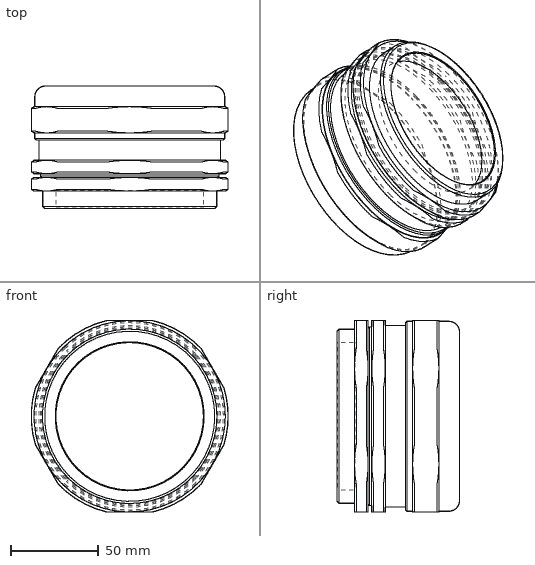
import cadquery as cq
import math

total_length = 70.4

crest_diameter = 113.0
across_flats = 110.0
hex_face_diameter = 109.7
hex_chamfer_angle = 33.0

front_nut_start = 10.1
front_nut_end = 18.0
rear_nut_start = 20.0
rear_nut_end = 27.8
collar_start = 39.3
cap_hex_start = 43.4
cap_hex_end = 58.5

mouth_diameter = 100.0
mouth_face_diameter = 97.5
ring_diameter = 102.6
neck_diameter = 104.2
cap_diameter = 109.0
ring_chamfer = 0.8
collar_chamfer = 0.8
cap_fillet = 6.2

recess_diameter = 84.5
recess_depth = 10.5
recess_chamfer = 0.5


def disc(diameter, start, end):
    """Cylinder along Y between two axial stations."""
    return cq.Workplane("XZ", origin=(0, start, 0)).circle(diameter / 2).extrude(start - end)


def hex_section(start, end):
    """Hexagon with rounded corners, chamfered at both ends, with flats facing +Z and -Z."""
    hexagon_corner_diameter = across_flats / math.cos(math.pi / 6)
    hexagon = (
        cq.Workplane("XZ", origin=(0, start, 0))
        .polygon(6, hexagon_corner_diameter)
        .extrude(start - end)
    )
    radial_chamfer = (crest_diameter - hex_face_diameter) / 2
    axial_chamfer = radial_chamfer * math.tan(math.radians(hex_chamfer_angle))
    face_radius = hex_face_diameter / 2
    crest_radius = crest_diameter / 2
    envelope = (
        cq.Workplane("XY")
        .polyline([
            (0, start),
            (face_radius, start),
            (crest_radius, start + axial_chamfer),
            (crest_radius, end - axial_chamfer),
            (face_radius, end),
            (0, end),
        ])
        .close()
        .revolve(360, (0, 0, 0), (0, 1, 0))
    )
    return hexagon.intersect(envelope)


mouth_chamfer = (mouth_diameter - mouth_face_diameter) / 2
mouth = disc(mouth_diameter, 0, front_nut_end).faces("<Y").edges().chamfer(mouth_chamfer)
ring = disc(ring_diameter, front_nut_end, rear_nut_end).faces("<Y").edges().chamfer(ring_chamfer)
neck = disc(neck_diameter, rear_nut_start, cap_hex_start)
cap = disc(cap_diameter, collar_start, total_length)
cap = cap.faces("<Y").edges().chamfer(collar_chamfer)
cap = cap.faces(">Y").edges().fillet(cap_fillet)
body = mouth.union(ring).union(neck).union(cap)

hex_spans = [
    (front_nut_start, front_nut_end),
    (rear_nut_start, rear_nut_end),
    (cap_hex_start, cap_hex_end),
]
for span_start, span_end in hex_spans:
    body = body.union(hex_section(span_start, span_end))

body = body.cut(disc(recess_diameter, 0, recess_depth))
result = body.faces("<Y").edges("%CIRCLE").edges(cq.selectors.RadiusNthSelector(0)).chamfer(recess_chamfer)